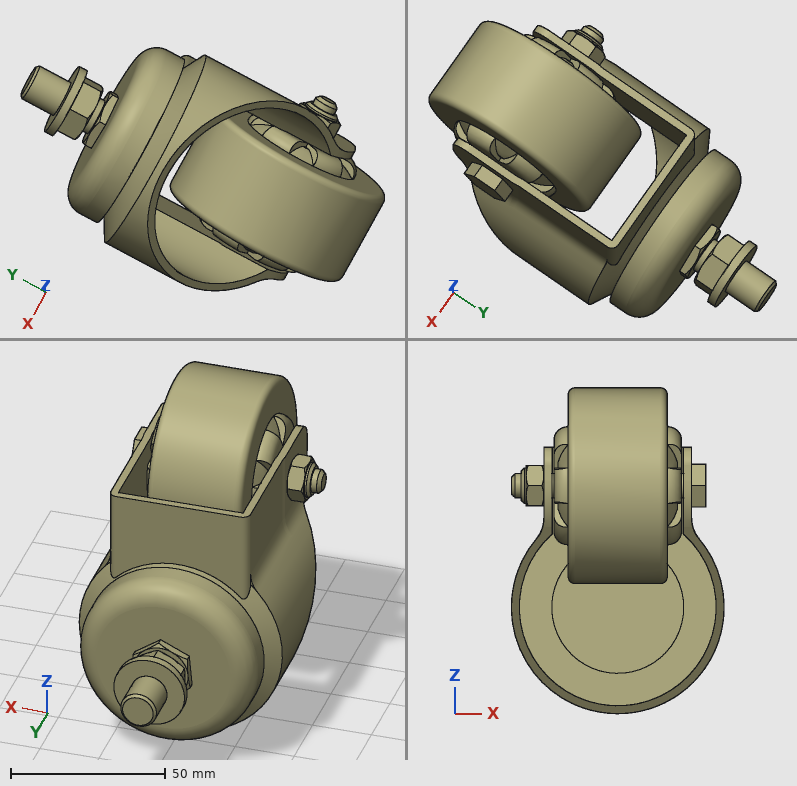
import cadquery as cq
import math


TOTAL_LENGTH = 123.5

WHEEL_R = 31.7
TIRE_WIDTH = 32.1
TIRE_ROUND = 2.2
HUB_R = 19.6
HUB_WIDTH = 41.2
HUB_ROUND = 4.5
POCKET_COUNT = 6
POCKET_TIP_R = 11.2
POCKET_FLOOR_R = 13.5
POCKET_FLOOR_HEIGHT = 3.2
POCKET_DOME_R = 16.5
POCKET_DOME_HEIGHT = 2.0
POCKET_HALF_ANGLE = 34
POCKET_DRAFT = 10
AXLE_Z = 39.4

FORK_R = 34.5
SHEET = 2.6
ARM_OUTER_X = 23.7
ARM_INNER_X = ARM_OUTER_X - SHEET
ARM_RISE = 12.5
ARM_TIP_Y = -15.7
ARM_TOP_ROUND = 5.9
ARM_LOWER_ROUND = 22.8
ARM_TOP_Z = AXLE_Z + ARM_RISE
WEB_Z = 28.9
JOGGLE = 0.2
ARM_SEAT_X = ARM_OUTER_X + JOGGLE
JOGGLE_START_Y = 10.1
JOGGLE_END_Y = 8.2
FLOOR_Y = 45.1
ARM_BACK_Y = FLOOR_Y + SHEET
PLATE_TOP_Y = 50.3
PLATE_TOP_R = 25.3
SKIRT_FOOT_Y = 42.5
SKIRT_ANGLE = 49

NECK_R = 21.4
CAP_R = 30.0
CAP_BOTTOM_Y = 50.5
CAP_TOP_Y = 63.8
CAP_ROUND = 7.2
BASE_HEX_TOP_Y = 66.8
BASE_HEX_FLATS = 18.5
BASE_HEX_TURN = 5.2
STEM_R = 6.0
STEM_CHAMFER = 0.9
STEM_END_Y = TOTAL_LENGTH - WHEEL_R

WASHER_R = 12.0
WASHER_TOP_Y = 79.4
WASHER_BOTTOM_Y = 76.6
STEM_NUT_BOTTOM_Y = 69.2
STEM_NUT_FLATS = 18.0

BOLT_R = 4.0
BOLT_CHAMFER = 1.2
BOLT_END_X = -FORK_R
BOLT_HEAD_END_X = 28.5
BOLT_HEAD_FLATS = 14.0
LOCK_NUT_FLATS = 13.1
LOCK_NUT_END_X = -29.6
COLLAR_END_X = -31.2
COLLAR_R = 5.8
COLLAR_CHAMFER = 1.0

HEX_CHAMFER_ANGLE = 30
CLEARANCE = 1.2


def disc_y(radius, y_start, y_end):
    """Cylinder about the Y axis."""
    plane = cq.Plane(origin=(0, y_start, 0), xDir=(1, 0, 0), normal=(0, 1, 0))
    return cq.Workplane(plane).circle(radius).extrude(y_end - y_start)


def disc_x(radius, x_start, x_end):
    """Cylinder about the wheel axis."""
    plane = cq.Plane(origin=(x_start, 0, AXLE_Z), xDir=(0, 1, 0), normal=(1, 0, 0))
    return cq.Workplane(plane).circle(radius).extrude(x_end - x_start)


def hex_prism(flats, height, chamfer_bottom=False, chamfer_top=False):
    """Hexagon along +Z with corners on the X axis; chosen ends get turned corners."""
    corner_r = flats / math.sqrt(3)
    flat_r = flats / 2
    drop = (corner_r - flat_r) * math.tan(math.radians(HEX_CHAMFER_ANGLE))
    bottom = [(flat_r, 0), (corner_r, drop)] if chamfer_bottom else [(corner_r, 0)]
    top = [(corner_r, height - drop), (flat_r, height)] if chamfer_top else [(corner_r, height)]
    turned = (
        cq.Workplane("XZ")
        .polyline([(0, 0)] + bottom + top + [(0, height)])
        .close()
        .revolve(360, (0, 0), (0, 1))
    )
    return cq.Workplane("XY").polygon(6, 2 * corner_r).extrude(height).intersect(turned)


def hex_y(flats, y_start, y_end, turn=0, **chamfers):
    """Hexagon about the Y axis with two corners on +-Z, turned from +Z towards +X."""
    prism = hex_prism(flats, y_end - y_start, **chamfers)
    prism = prism.rotate((0, 0, 0), (0, 0, 1), 90 + turn)
    return prism.rotate((0, 0, 0), (1, 0, 0), -90).translate((0, y_start, 0))


def hex_x(flats, x_start, x_end, **chamfers):
    """Hexagon about the wheel axis with two corners on +-Y."""
    prism = hex_prism(flats, x_end - x_start, **chamfers)
    prism = prism.rotate((0, 0, 0), (0, 0, 1), 90)
    return prism.rotate((0, 0, 0), (0, 1, 0), 90).translate((x_start, 0, AXLE_Z))


def hub_pockets(side):
    """V-shaped pockets in the hub shoulder on the +X (1) or -X (-1) side."""
    face_x = HUB_WIDTH / 2
    tire_x = TIRE_WIDTH / 2
    floor_x = tire_x + POCKET_FLOOR_HEIGHT
    floor = (
        cq.Workplane("XY")
        .moveTo(tire_x, 0)
        .lineTo(tire_x, HUB_R)
        .threePointArc((tire_x + POCKET_DOME_HEIGHT, POCKET_DOME_R), (floor_x, POCKET_FLOOR_R))
        .lineTo(floor_x, 0)
        .close()
        .revolve(360, (0, 0), (1, 0))
    )
    reach = HUB_R + 2 * CLEARANCE - POCKET_TIP_R
    half_width = reach * math.tan(math.radians(POCKET_HALF_ANGLE))
    wedge = (
        cq.Workplane("YZ", origin=(face_x, 0, 0))
        .polyline([
            (0, POCKET_TIP_R),
            (half_width, POCKET_TIP_R + reach),
            (-half_width, POCKET_TIP_R + reach),
        ])
        .close()
        .extrude(tire_x - face_x, taper=POCKET_DRAFT)
        .cut(floor)
    )
    pockets = cq.Workplane("XY")
    for i in range(POCKET_COUNT):
        pockets = pockets.add(wedge.rotate((0, 0, 0), (1, 0, 0), i * 360 / POCKET_COUNT))
    if side < 0:
        pockets = pockets.rotate((0, 0, 0), (0, 0, 1), 180)
    return pockets.translate((0, 0, AXLE_Z)).vals()


def make_wheel():
    tire = disc_x(WHEEL_R, -TIRE_WIDTH / 2, TIRE_WIDTH / 2).edges().fillet(TIRE_ROUND)
    hub = disc_x(HUB_R, -HUB_WIDTH / 2, HUB_WIDTH / 2).edges().fillet(HUB_ROUND)
    wheel = tire.union(hub)
    for side in (1, -1):
        for pocket in hub_pockets(side):
            wheel = wheel.cut(cq.Workplane(obj=pocket))
    return wheel.cut(disc_x(BOLT_R, -HUB_WIDTH, HUB_WIDTH))


def fork_shell():
    """Conical base plate with the round skirt hanging in front of it."""
    skirt_end_y = ARM_TIP_Y - CLEARANCE
    return (
        cq.Workplane("XY")
        .polyline([
            (0, skirt_end_y),
            (FORK_R, skirt_end_y),
            (FORK_R, FLOOR_Y),
            (PLATE_TOP_R, PLATE_TOP_Y),
            (0, PLATE_TOP_Y),
        ])
        .close()
        .revolve(360, (0, 0), (0, 1))
    )


def web_outline(arm_x, y):
    """Blend outline at one depth: concave arcs from the arm faces to the skirt."""
    blend_r = (arm_x**2 + WEB_Z**2 - FORK_R**2) / (2 * (FORK_R - arm_x))
    centre_x = arm_x + blend_r
    touch_scale = FORK_R / math.hypot(centre_x, WEB_Z)
    touch_x = centre_x * touch_scale
    touch_z = WEB_Z * touch_scale
    mid_angle = (math.pi + math.atan2(-WEB_Z, -centre_x) + 2 * math.pi) / 2
    mid_x = centre_x + blend_r * math.cos(mid_angle)
    mid_z = WEB_Z + blend_r * math.sin(mid_angle)
    return (
        cq.Workplane("XZ", origin=(0, y, 0))
        .moveTo(-arm_x, WEB_Z)
        .lineTo(arm_x, WEB_Z)
        .threePointArc((mid_x, mid_z), (touch_x, touch_z))
        .lineTo(-touch_x, touch_z)
        .threePointArc((-mid_x, mid_z), (-arm_x, WEB_Z))
        .close()
    )


def fork_webs():
    """Concave outside blend between skirt and arms, following the arms' joggle."""
    rear = web_outline(ARM_OUTER_X, FLOOR_Y).extrude(FLOOR_Y - JOGGLE_START_Y)
    front = web_outline(ARM_SEAT_X, JOGGLE_END_Y).extrude(JOGGLE_END_Y - ARM_TIP_Y + CLEARANCE)
    joggle_ends = [
        web_outline(ARM_OUTER_X, JOGGLE_START_Y).val(),
        web_outline(ARM_SEAT_X, JOGGLE_END_Y).val(),
    ]
    joggle = cq.Workplane(obj=cq.Solid.makeLoft(joggle_ends, True))
    return rear.union(joggle).union(front)


def joggled_block(half_width, back_y, bottom_z, top_z):
    """Block as wide as the fork arms, widened in front by the joggle."""
    front_y = ARM_TIP_Y - CLEARANCE
    right = [
        (half_width + JOGGLE, front_y),
        (half_width + JOGGLE, JOGGLE_END_Y),
        (half_width, JOGGLE_START_Y),
        (half_width, back_y),
    ]
    left = [(-x, y) for x, y in reversed(right)]
    plane = cq.Workplane("XY", origin=(0, 0, bottom_z))
    return plane.polyline(right + left).close().extrude(top_z - bottom_z)


def fork_side_outline():
    """Prism of the fork's side shape: rounded arm tips and slanted skirt edge."""
    back_y = PLATE_TOP_Y + CLEARANCE
    slant_rise = (SKIRT_FOOT_Y - ARM_TIP_Y) * math.tan(math.radians(SKIRT_ANGLE))
    slant_top_z = slant_rise - FORK_R
    outline = (
        cq.Workplane("YZ", origin=(-FORK_R - CLEARANCE, 0, 0))
        .polyline([
            (back_y, -FORK_R),
            (SKIRT_FOOT_Y, -FORK_R),
            (ARM_TIP_Y, slant_top_z),
            (ARM_TIP_Y, ARM_TOP_Z),
            (back_y, ARM_TOP_Z),
        ])
        .close()
        .extrude(2 * (FORK_R + CLEARANCE))
    )
    upper = cq.selectors.NearestToPointSelector((0, ARM_TIP_Y, ARM_TOP_Z))
    lower = cq.selectors.NearestToPointSelector((0, ARM_TIP_Y, slant_top_z))
    return outline.edges(upper).fillet(ARM_TOP_ROUND).edges(lower).fillet(ARM_LOWER_ROUND)


def make_fork():
    arms = joggled_block(ARM_OUTER_X, ARM_BACK_Y, WEB_Z, ARM_TOP_Z)
    arms = arms.edges("|Z and >Y").fillet(SHEET)
    back_wall = (
        cq.Workplane("XY")
        .rect(2 * ARM_OUTER_X, 2 * SHEET)
        .extrude(WEB_Z)
        .edges("|Z and >Y")
        .fillet(SHEET)
        .translate((0, ARM_BACK_Y - SHEET, 0))
    )
    cavity = disc_y(FORK_R - SHEET, ARM_TIP_Y - 2 * CLEARANCE, FLOOR_Y)
    arm_gap = joggled_block(ARM_INNER_X, FLOOR_Y, 0, ARM_TOP_Z + CLEARANCE)
    fork = fork_shell().union(fork_webs()).union(back_wall).union(arms)
    fork = fork.cut(cavity).cut(arm_gap).intersect(fork_side_outline())
    fork = fork.cut(disc_y(NECK_R, FLOOR_Y - CLEARANCE, PLATE_TOP_Y + CLEARANCE))
    return fork.cut(disc_x(BOLT_R, -FORK_R, FORK_R))


def make_stem():
    """Cap, neck seated in the fork plate, hexagon base and threaded stem."""
    neck = disc_y(NECK_R, FLOOR_Y, CAP_BOTTOM_Y)
    cap = disc_y(CAP_R, CAP_BOTTOM_Y, CAP_TOP_Y).edges(">Y").fillet(CAP_ROUND)
    base = hex_y(BASE_HEX_FLATS, CAP_TOP_Y, BASE_HEX_TOP_Y, BASE_HEX_TURN, chamfer_top=True)
    shank = disc_y(STEM_R, CAP_TOP_Y, STEM_END_Y).edges(">Y").chamfer(STEM_CHAMFER)
    return cap.union(neck).union(base).union(shank)


def make_washer():
    bore = disc_y(STEM_R, WASHER_BOTTOM_Y, WASHER_TOP_Y)
    return disc_y(WASHER_R, WASHER_BOTTOM_Y, WASHER_TOP_Y).cut(bore)


def make_stem_nut():
    bore = disc_y(STEM_R, STEM_NUT_BOTTOM_Y, WASHER_BOTTOM_Y)
    nut = hex_y(STEM_NUT_FLATS, STEM_NUT_BOTTOM_Y, WASHER_BOTTOM_Y, chamfer_bottom=True)
    return nut.cut(bore)


def make_axle_bolt():
    shank = disc_x(BOLT_R, BOLT_END_X, ARM_SEAT_X).edges("<X").chamfer(BOLT_CHAMFER)
    return shank.union(hex_x(BOLT_HEAD_FLATS, ARM_SEAT_X, BOLT_HEAD_END_X))


def make_lock_nut():
    body = hex_x(LOCK_NUT_FLATS, LOCK_NUT_END_X, -ARM_SEAT_X, chamfer_bottom=True, chamfer_top=True)
    collar = disc_x(COLLAR_R, COLLAR_END_X, LOCK_NUT_END_X).edges("<X").chamfer(COLLAR_CHAMFER)
    return body.union(collar).cut(disc_x(BOLT_R, COLLAR_END_X, -ARM_SEAT_X))


fork = make_fork()
stem = make_stem()
washer = make_washer()
stem_nut = make_stem_nut()
wheel = make_wheel()
axle_bolt = make_axle_bolt()
lock_nut = make_lock_nut()

result = cq.Compound.makeCompound([
    fork.val(),
    stem.val(),
    washer.val(),
    stem_nut.val(),
    wheel.val(),
    axle_bolt.val(),
    lock_nut.val(),
])